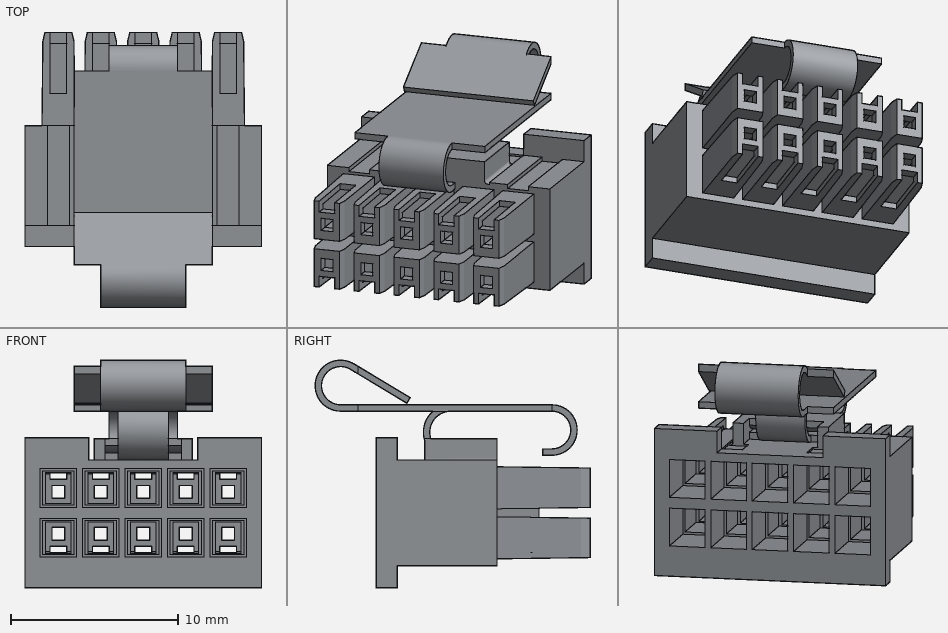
import cadquery as cq
import math


width = 14.17
flange_height = 8.98
flange_depth = 1.27
mid_z = flange_height / 2
body_height = 6.35
body_back = 7.23
body_bottom = mid_z - body_height / 2
body_top = mid_z + body_height / 2
notch_width = 6.5
channel_width = 1.32
channel_x = 5.06
channel_depth = 0.25

columns = 5
pitch = 2.54
tower_offset = 1.5
column_xs = [(i - (columns - 1) / 2) * pitch for i in range(columns)]
row_signs = (1, -1)

tower_back = 12.82
tower_shoulder = 12.28
tower_root = (1.98, 2.52)
tower_tip = (1.62, 2.37)
tower_neck_height = tower_root[1] + (tower_tip[1] - tower_root[1]) * (
    (tower_shoulder - body_back) / (tower_back - body_back)
)
tower_neck = (1.88, tower_neck_height)
web_back = 9.75
web_height = 0.66

cavity_offset = 1.48
mouth = (2.18, 2.3)
mouth_depth = 3.63
throat = (1.9, 2.03)
throat_depth = 6.6
cell = (1.52, 1.88)
cell_end = 12.15
cell_taper = 0.1
pin_hole = 0.75
pin_offset = 1.25
slot_width = 0.99
slot_front = 9.15
slot_floor = 2.01

rail_front = 2.9
rail_thickness = 0.66
rail_span = 5.87
rail_top = 8.93
rail_fillet = 0.2
relief_depth = 0.12
relief_floor = body_top - relief_depth
relief_inner = 1.98
relief_margin = 0.1
relief_outer = rail_span / 2 + rail_fillet + relief_margin
seat_width = rail_span - 2 * rail_thickness
seat_step = 0.41
undercut_depth = 1.32
undercut_radius = 2.18

sheet = 0.4
plate_top = 10.96
plate_bottom = plate_top - sheet
plate_width = 8.27
plate_front = -1.09
plate_back = 10.51
loop_radius = 1.53
loop_width = 5.11
loop_y = -2.13
loop_z = plate_bottom + loop_radius
tab_angle = math.radians(31)
tab_length = 3.94
hook_radius = 1.52
hook_width = 4.1
hook_end = 9.95
tongue_width = 3.02
tongue_radius = (plate_top - body_top) / 2
tongue_y = 4.47
tongue_leg = 0.5


def block(x_size, y_start, y_end, z_start, z_end, x=0.0):
    """Box centred on x, between the given Y and Z limits."""
    size = (x_size, y_end - y_start, z_end - z_start)
    return cq.Workplane("XY").box(*size, centered=(True, False, False)).translate((x, y_start, z_start))


def taper(x, z, y_start, start, y_end, end, z_shift=0.0):
    """Rectangular frustum along Y between two (width, height) sections."""
    return (
        cq.Workplane("XZ", origin=(x, y_start, z))
        .rect(*start)
        .workplane(offset=y_start - y_end)
        .center(0, z_shift)
        .rect(*end)
        .loft(ruled=True)
    )


def profile(y, z):
    """Sketch in the YZ plane at mid-width, starting at the given point."""
    return cq.Workplane("YZ").moveTo(y, z)


def extruded(sketch, x_size):
    """Close the sketch and extrude it symmetrically to the full X size."""
    return sketch.close().extrude(x_size / 2, both=True)


def make_housing():
    flange = block(width, 0, flange_depth, 0, flange_height)
    flange = flange.cut(block(notch_width, 0, flange_depth, body_top, flange_height))
    body = block(width, flange_depth, body_back, body_bottom, body_top)
    channel_floor = body_top - channel_depth
    for side in (-1, 1):
        body = body.cut(
            block(channel_width, flange_depth, body_back, channel_floor, body_top, side * channel_x)
        )
        for inner_x, relief_back in ((rail_span / 2, body_back), (relief_inner, rail_front)):
            relief_x = side * (relief_outer + inner_x) / 2
            body = body.cut(
                block(relief_outer - inner_x, flange_depth, relief_back, relief_floor, body_top, relief_x)
            )
    web_width = (columns - 1) * pitch
    web = block(web_width, body_back, web_back, mid_z - web_height / 2, mid_z + web_height / 2)
    return flange.union(body).union(web)


def make_tower(x, sign):
    z = mid_z + sign * tower_offset
    root = taper(x, z, body_back, tower_root, tower_shoulder, tower_neck)
    tip = taper(x, z, tower_shoulder, tower_neck, tower_back, tower_tip)
    return root.union(tip)


def make_cavity(x, sign):
    z = mid_z + sign * cavity_offset
    cavity = taper(x, z, 0, mouth, mouth_depth, mouth)
    cavity = cavity.union(taper(x, z, mouth_depth, throat, throat_depth, throat))
    cell_back = (cell[0], cell[1] - cell_taper)
    cavity = cavity.union(
        taper(x, z, throat_depth, cell, cell_end, cell_back, -sign * cell_taper / 2)
    )
    pin_z = mid_z + sign * pin_offset
    pin = taper(x, pin_z, cell_end, (pin_hole, pin_hole), tower_back, (pin_hole, pin_hole))
    slot_z = sorted((mid_z + sign * slot_floor, mid_z + sign * body_height / 2))
    slot = block(slot_width, slot_front, tower_back, *slot_z, x)
    return cavity.union(pin).union(slot)


def make_latch_seat():
    """Two rails joined by a block whose front is undercut."""
    step_bottom = body_top + seat_step
    step_top = rail_top - seat_step
    sketch = (
        profile(tongue_y, body_top)
        .lineTo(tongue_y, step_bottom)
        .lineTo(tongue_y + undercut_depth, step_bottom)
        .radiusArc((tongue_y, step_top), undercut_radius)
        .lineTo(tongue_y, rail_top)
        .lineTo(body_back, rail_top)
        .lineTo(body_back, body_top)
    )
    seat = extruded(sketch, seat_width)
    rail_length = body_back - rail_front
    for side in (-1, 1):
        rail_x = side * (rail_span - rail_thickness) / 2
        seat = seat.union(block(rail_thickness, rail_front, body_back, body_top, rail_top, rail_x))
        foot = (
            cq.Workplane("XZ", origin=(side * rail_span / 2, rail_front, relief_floor))
            .lineTo(side * rail_fillet, 0)
            .radiusArc((0, rail_fillet), side * rail_fillet)
            .close()
            .extrude(-rail_length)
        )
        seat = seat.union(foot)
    return seat


def make_loop():
    """Plate rolled up at the front into a loop ending in a sloping tab."""
    inner = loop_radius - sheet
    normal = (math.sin(tab_angle), math.cos(tab_angle))
    along = (math.cos(tab_angle), -math.sin(tab_angle))

    def tangent(radius, distance):
        return (
            loop_y + radius * normal[0] + distance * along[0],
            loop_z + radius * normal[1] + distance * along[1],
        )

    sketch = (
        profile(plate_back, plate_bottom)
        .lineTo(loop_y, plate_bottom)
        .threePointArc((loop_y - loop_radius, loop_z), tangent(loop_radius, 0))
        .lineTo(*tangent(loop_radius, tab_length))
        .lineTo(*tangent(inner, tab_length))
        .lineTo(*tangent(inner, 0))
        .threePointArc((loop_y - inner, loop_z), (loop_y, plate_top))
        .lineTo(plate_back, plate_top)
    )
    loop = extruded(sketch, plate_width)
    shoulder = (plate_width - loop_width) / 2
    for side in (-1, 1):
        shoulder_x = side * (plate_width - shoulder) / 2
        loop = loop.cut(
            block(shoulder, loop_y - loop_radius, plate_front, plate_bottom, loop_z + loop_radius, shoulder_x)
        )
    return loop


def make_bend(y, radius, direction, leg_y, x_size):
    """Half-round bend down from the plate, bulging along direction in Y, with a leg back to leg_y."""
    inner = radius - sheet
    z = plate_top - radius
    sketch = (
        profile(y, plate_top)
        .threePointArc((y + direction * radius, z), (y, z - radius))
        .lineTo(leg_y, z - radius)
        .lineTo(leg_y, z - inner)
        .lineTo(y, z - inner)
        .threePointArc((y + direction * inner, z), (y, plate_bottom))
    )
    return extruded(sketch, x_size)


def make_clip():
    hook = make_bend(plate_back, hook_radius, 1, hook_end, hook_width)
    tongue = make_bend(tongue_y, tongue_radius, -1, tongue_y + tongue_leg, tongue_width)
    return make_loop().union(hook).union(tongue)


result = make_housing()
for row_sign in row_signs:
    for column_x in column_xs:
        result = result.union(make_tower(column_x, row_sign))
for row_sign in row_signs:
    for column_x in column_xs:
        result = result.cut(make_cavity(column_x, row_sign))
result = result.union(make_latch_seat()).union(make_clip())